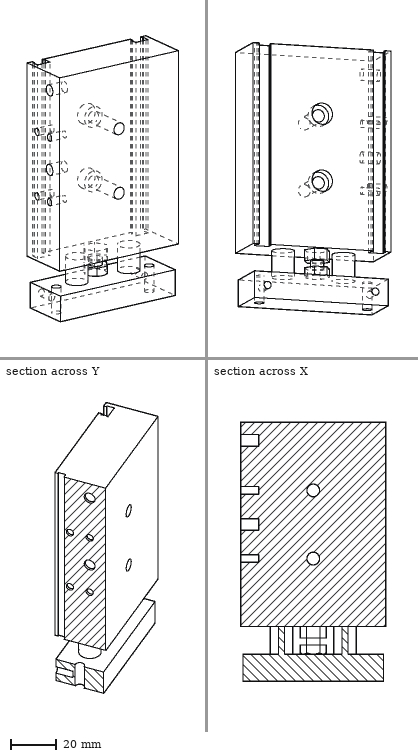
import cadquery as cq
import math

ALONG_X = (1, 0, 0)
ALONG_Y = (0, 1, 0)
UP = (0, 0, 1)

housing_thickness = 25.0
housing_width = 64.0
housing_height = 90.0
plate_margin = 1.0
plate_thickness = housing_thickness - 2.0 * plate_margin
plate_width = housing_width - 2.0 * plate_margin
plate_height = 12.0
stroke_gap = 12.0

mid_x = housing_thickness / 2.0
housing_bottom = plate_height + stroke_gap

slot_offset = 26.45
slot_mouth_width = 5.3
slot_lip = 1.5
slot_inner_width = 6.6
slot_depth = 4.9

mount_levels = (54.0, 84.0)
mount_hole_diameter = 5.5
counterbore_diameter = 9.5
counterbore_depth = 5.3

tapped_diameter = 3.24
tapped_depth = 8.0
column_offset = 4.75
tapped_columns = (mid_x - column_offset, mid_x + column_offset)
port_diameter = 5.0
port_depth = 8.0
port_x = mid_x + column_offset
port_levels = (69.0, 106.0)

rod_diameter = 10.0
rod_offset = 14.0

plate_hole_offset = 25.0
plate_hole_diameter = 4.2

bolt_x = 7.1
hex_flats = 10.0
hex_corners = hex_flats / math.cos(math.pi / 6.0)
nut_height = 5.0
head_height = 4.0
shank_diameter = 6.0
head_chamfer = 0.5


def block(x_start, x_size, y_center, y_size, z_start, z_size):
    """Box located by its lowest X and Z and its middle Y."""
    box = cq.Workplane("XY").box(x_size, y_size, z_size, centered=(False, True, False))
    return box.translate((x_start, y_center, z_start))


def cylinder_along(diameter, start, length, direction):
    """Cylinder running from a start point along a direction."""
    solid = cq.Solid.makeCylinder(diameter / 2.0, length, cq.Vector(*start), cq.Vector(*direction))
    return cq.Workplane(obj=solid)


def t_slot(y_center):
    mouth = block(0.0, slot_depth, y_center, slot_mouth_width, housing_bottom, housing_height)
    inner = block(slot_lip, slot_depth - slot_lip, y_center, slot_inner_width, housing_bottom, housing_height)
    return mouth.union(inner)


def mount_hole(level):
    through = cylinder_along(mount_hole_diameter, (0.0, 0.0, level), housing_thickness, ALONG_X)
    counterbore = cylinder_along(counterbore_diameter, (0.0, 0.0, level), counterbore_depth, ALONG_X)
    return through.union(counterbore)


def side_hole(diameter, depth, x, level):
    return cylinder_along(diameter, (x, -housing_width / 2.0, level), depth, ALONG_Y)


def make_housing():
    body = block(0.0, housing_thickness, 0.0, housing_width, housing_bottom, housing_height)
    for side in (-1, 1):
        body = body.cut(t_slot(side * slot_offset))
    for level in mount_levels:
        body = body.cut(mount_hole(level))
        for x in tapped_columns:
            body = body.cut(side_hole(tapped_diameter, tapped_depth, x, level))
    for level in port_levels:
        body = body.cut(side_hole(port_diameter, port_depth, port_x, level))
    return body


def make_slide():
    """End plate in one piece with its two guide rods, which reach up to the housing."""
    slide = block(plate_margin, plate_thickness, 0.0, plate_width, 0.0, plate_height)
    for side in (-1, 1):
        hole_y = side * plate_hole_offset
        rod_base = (mid_x, side * rod_offset, plate_height)
        front_hole_start = (plate_margin, hole_y, plate_height / 2.0)
        guide_rod = cylinder_along(rod_diameter, rod_base, stroke_gap, UP)
        end_hole = cylinder_along(plate_hole_diameter, (mid_x, hole_y, 0.0), plate_height, UP)
        front_hole = cylinder_along(tapped_diameter, front_hole_start, tapped_depth, ALONG_X)
        slide = slide.union(guide_rod).cut(end_hole).cut(front_hole)
    return slide


def hexagon(bottom, height):
    """Hexagonal prism with two corners on the Y direction."""
    prism = cq.Workplane("XY").polygon(6, hex_corners).extrude(height)
    return prism.rotate((0, 0, 0), UP, 90).translate((bolt_x, 0.0, bottom))


def head_trim():
    """Round envelope with a conical lower edge, which bevels the lower corners of the head."""
    corner_radius = hex_corners / 2.0
    profile = (
        cq.Workplane("XZ")
        .moveTo(0.0, 0.0)
        .lineTo(hex_flats / 2.0, 0.0)
        .lineTo(corner_radius, head_chamfer)
        .lineTo(corner_radius, head_height)
        .lineTo(0.0, head_height)
        .close()
    )
    return profile.revolve(360.0, (0, 0, 0), (0, 1, 0)).translate((bolt_x, 0.0, plate_height))


def make_bolt():
    """Bolt standing on the plate, with its nut against the housing."""
    head = hexagon(plate_height, head_height).intersect(head_trim())
    shank = cylinder_along(shank_diameter, (bolt_x, 0.0, plate_height), stroke_gap, UP)
    nut = hexagon(housing_bottom - nut_height, nut_height)
    return head.union(shank).union(nut)


housing = make_housing()
slide = make_slide()
bolt = make_bolt()

result = cq.Compound.makeCompound([housing.val(), slide.val(), bolt.val()])